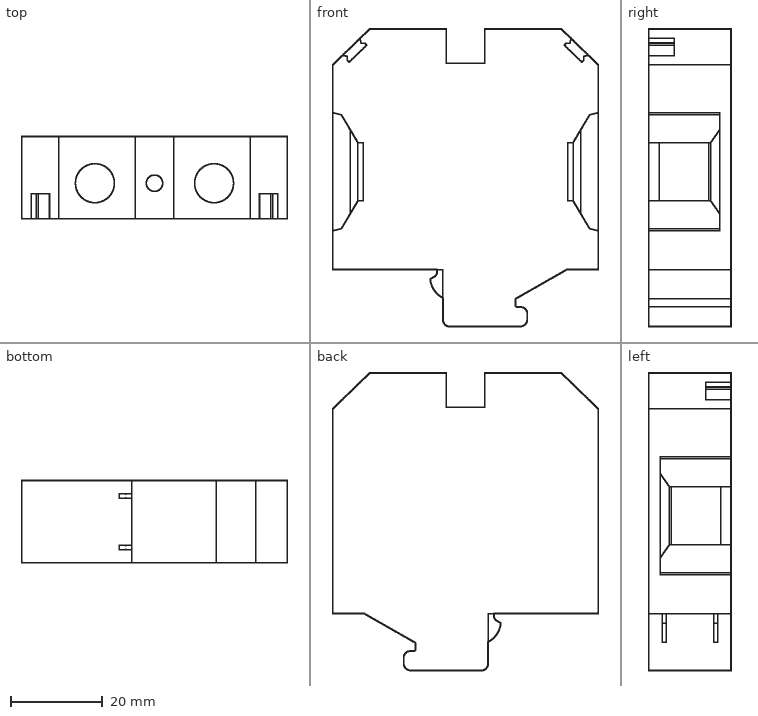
import cadquery as cq
import math

LENGTH = 58.0
THICKNESS = 18.0
HEIGHT = 65.0
HALF_LENGTH = LENGTH / 2

BODY_BOTTOM = 12.4
CHAMFER_X = 8.1
CHAMFER_Z = 7.85
SLOT_WIDTH = 8.3
SLOT_DEPTH = 7.5
SLOT_FLOOR = HEIGHT - SLOT_DEPTH

FOOT_LEFT = -4.95
FOOT_HEEL_RADIUS = 1.5
RAMP_END_X = 22.1
NECK_X = 10.9
NECK_TOP = 6.05
TOE_X = 13.5
TOE_TOP = 4.3
TOE_UPPER_RADIUS = 1.5
TOE_LOWER_RADIUS = 1.6
NECK_RADIUS = 0.3

HOOK_STARTS_Y = (2.9, 14.2)
HOOK_THICKNESS = 0.9
HOOK_ROOT_REACH = 1.3
HOOK_ROOT_DROP = 1.2
HOOK_ROOT_RADIUS = 1.05
HOOK_REACH = 2.8
HOOK_SLOPE = 30
HOOK_ARC_X = 1.95
HOOK_ARC_DROP = 4.4
HOOK_DROP = 6.2

FUNNEL_MID_Z = 33.8
FUNNEL_MOUTH_HEIGHT = 25.8
LIP_HEIGHT = 24.8
LIP_DEPTH = 1.9
THROAT_HEIGHT = 12.7
THROAT_DEPTH = 5.5
FUNNEL_WIDTH = 15.5
THROAT_WIDTH = 13.5
FLARE_START_DEPTH = 3.85
NOTCH_DEPTH = 6.6
WIRE_HOLE_START_Y = 2.35
WIRE_HOLE_END_Y = 13.1
WIRE_HOLE_LENGTH = 13.0

SCREW_OFFSET_X = 13.0
SCREW_Y = 7.8
SCREW_DIAMETER = 8.5
CENTRE_HOLE_DIAMETER = 3.6
SCREW_RECESS = 0.6

CLIP_LENGTH_Y = 5.5
CLIP_DEPTH = 2.1
CLIP_HALF_MOUTH = 2.7
CLIP_HALF_NECK = 2.1
CLIP_HALF_FLOOR = 2.65
CLIP_NECK_DEPTH = 0.85
CLIP_FLARE_DEPTH = 1.55


def extrude_y(sketch, start, end):
    """Extrude an outline drawn in X and Z from Y = start to Y = end."""
    return sketch.extrude(start - end).translate((0, start, 0))


def box(x_range, y_range, z_range):
    """Axis-aligned box between three pairs of limits."""
    size = [high - low for low, high in (x_range, y_range, z_range)]
    return cq.Workplane("XY").box(*size, centered=False).translate((x_range[0], y_range[0], z_range[0]))


def mirrored_pair(left):
    """A left-end feature together with its mirror image on the right end."""
    return left.union(left.mirror("YZ"))


def make_housing():
    outline = (
        cq.Workplane("XZ")
        .moveTo(-HALF_LENGTH, BODY_BOTTOM)
        .lineTo(-HALF_LENGTH, HEIGHT - CHAMFER_Z)
        .lineTo(-HALF_LENGTH + CHAMFER_X, HEIGHT)
        .lineTo(-SLOT_WIDTH / 2, HEIGHT)
        .lineTo(-SLOT_WIDTH / 2, SLOT_FLOOR)
        .lineTo(SLOT_WIDTH / 2, SLOT_FLOOR)
        .lineTo(SLOT_WIDTH / 2, HEIGHT)
        .lineTo(HALF_LENGTH - CHAMFER_X, HEIGHT)
        .lineTo(HALF_LENGTH, HEIGHT - CHAMFER_Z)
        .lineTo(HALF_LENGTH, BODY_BOTTOM)
        .lineTo(RAMP_END_X, BODY_BOTTOM)
        .lineTo(NECK_X, NECK_TOP)
        .lineTo(NECK_X, TOE_TOP)
        .lineTo(TOE_X, TOE_TOP)
        .lineTo(TOE_X, 0)
        .lineTo(FOOT_LEFT, 0)
        .lineTo(FOOT_LEFT, BODY_BOTTOM)
        .close()
    )
    housing = extrude_y(outline, 0, THICKNESS)
    rounded_corners = (
        (FOOT_LEFT, 0, FOOT_HEEL_RADIUS),
        (TOE_X, 0, TOE_LOWER_RADIUS),
        (TOE_X, TOE_TOP, TOE_UPPER_RADIUS),
        (NECK_X, TOE_TOP, NECK_RADIUS),
    )
    for x, z, radius in rounded_corners:
        corner = cq.selectors.NearestToPointSelector((x, THICKNESS / 2, z))
        housing = housing.edges("|Y").edges(corner).fillet(radius)
    return housing


def make_hook(start_y):
    root_x = FOOT_LEFT - HOOK_ROOT_REACH
    root_z = BODY_BOTTOM - HOOK_ROOT_DROP
    nose_x = FOOT_LEFT - HOOK_REACH
    nose_z = root_z - (HOOK_REACH - HOOK_ROOT_REACH) * math.tan(math.radians(HOOK_SLOPE))
    outline = (
        cq.Workplane("XZ")
        .moveTo(FOOT_LEFT, BODY_BOTTOM)
        .lineTo(root_x, BODY_BOTTOM)
        .lineTo(root_x, root_z)
        .lineTo(nose_x, nose_z)
        .threePointArc(
            (FOOT_LEFT - HOOK_ARC_X, BODY_BOTTOM - HOOK_ARC_DROP),
            (FOOT_LEFT, BODY_BOTTOM - HOOK_DROP),
        )
        .close()
    )
    hook = extrude_y(outline, start_y, start_y + HOOK_THICKNESS)
    root = cq.selectors.NearestToPointSelector((root_x, start_y + HOOK_THICKNESS / 2, root_z))
    return hook.edges("|Y").edges(root).fillet(HOOK_ROOT_RADIUS)


def make_wire_funnel():
    """Left funnel: a tapered mouth, open at Y = 0, with a notch and a wire hole behind it."""
    end_x = -HALF_LENGTH
    throat_x = end_x + THROAT_DEPTH
    notch_x = end_x + NOTCH_DEPTH
    throat_z = (FUNNEL_MID_Z - THROAT_HEIGHT / 2, FUNNEL_MID_Z + THROAT_HEIGHT / 2)

    side_outline = (
        cq.Workplane("XZ")
        .moveTo(end_x, FUNNEL_MID_Z - FUNNEL_MOUTH_HEIGHT / 2)
        .lineTo(end_x + LIP_DEPTH, FUNNEL_MID_Z - LIP_HEIGHT / 2)
        .lineTo(throat_x, throat_z[0])
        .lineTo(throat_x, throat_z[1])
        .lineTo(end_x + LIP_DEPTH, FUNNEL_MID_Z + LIP_HEIGHT / 2)
        .lineTo(end_x, FUNNEL_MID_Z + FUNNEL_MOUTH_HEIGHT / 2)
        .close()
    )
    mouth = extrude_y(side_outline, 0, FUNNEL_WIDTH)

    plan = (
        cq.Workplane("XY")
        .moveTo(end_x, 0)
        .lineTo(throat_x, 0)
        .lineTo(throat_x, THROAT_WIDTH)
        .lineTo(end_x + FLARE_START_DEPTH, FUNNEL_WIDTH)
        .lineTo(end_x, FUNNEL_WIDTH)
        .close()
        .extrude(HEIGHT)
    )
    notch = box((throat_x, notch_x), (0, THROAT_WIDTH), throat_z)
    wire_hole = box(
        (notch_x, notch_x + WIRE_HOLE_LENGTH),
        (WIRE_HOLE_START_Y, WIRE_HOLE_END_Y),
        throat_z,
    )
    return mouth.intersect(plan).union(notch).union(wire_hole)


def make_marker_clip():
    """Left clip pocket, necked in below its mouth and centred on the slope."""
    slope_length = math.hypot(CHAMFER_X, CHAMFER_Z)
    along = (CHAMFER_X / slope_length, CHAMFER_Z / slope_length)
    inward = (along[1], -along[0])
    middle = (-HALF_LENGTH + CHAMFER_X / 2, HEIGHT - CHAMFER_Z / 2)

    half_profile = (
        (CLIP_HALF_MOUTH, 0),
        (CLIP_HALF_NECK, CLIP_NECK_DEPTH),
        (CLIP_HALF_FLOOR, CLIP_FLARE_DEPTH),
        (CLIP_HALF_FLOOR, CLIP_DEPTH),
    )
    other_half = [(-offset, depth) for offset, depth in reversed(half_profile)]
    points = [
        (
            middle[0] + offset * along[0] + depth * inward[0],
            middle[1] + offset * along[1] + depth * inward[1],
        )
        for offset, depth in [*half_profile, *other_half]
    ]
    return extrude_y(cq.Workplane("XZ").polyline(points).close(), 0, CLIP_LENGTH_Y)


def make_recess(x, top, diameter):
    return (
        cq.Workplane("XY")
        .workplane(offset=top - SCREW_RECESS)
        .center(x, SCREW_Y)
        .circle(diameter / 2)
        .extrude(SCREW_RECESS)
    )


result = make_housing()
for hook_start in HOOK_STARTS_Y:
    result = result.union(make_hook(hook_start))
result = result.cut(mirrored_pair(make_wire_funnel()))
result = result.cut(mirrored_pair(make_marker_clip()))
result = result.cut(mirrored_pair(make_recess(-SCREW_OFFSET_X, HEIGHT, SCREW_DIAMETER)))
result = result.cut(make_recess(0, SLOT_FLOOR, CENTRE_HOLE_DIAMETER))